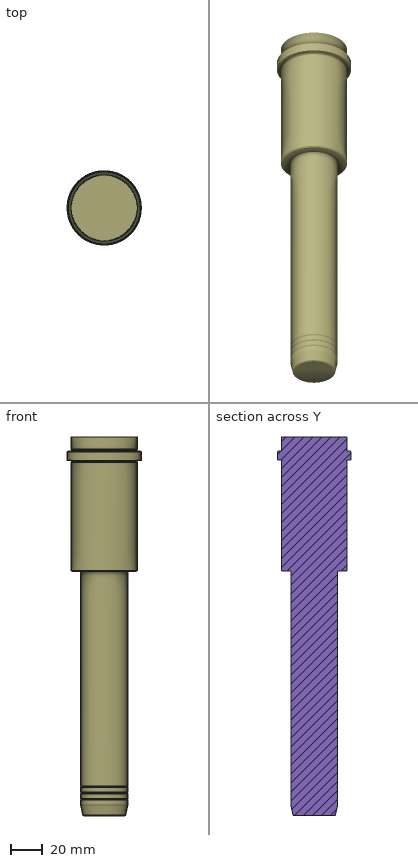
import cadquery as cq

length = 240.0
flange_diameter = 47.0
body_diameter = 42.0
shank_diameter = 30.0
tip_diameter = 27.0

body_length = 85.2
body_bottom = length - body_length
flange_top = length - 9.0
flange_height = 6.0
flange_bottom = flange_top - flange_height
tip_height = 7.0

body_chamfer = 0.7
neck_depth = 0.5
neck_width = 1.2
flange_chamfer = 0.7
tip_chamfer = 0.5
groove_width = 1.2
groove_depth = 0.35
groove_count = 3
first_groove_height = 10.5
last_groove_height = 18.5
groove_pitch = (last_groove_height - first_groove_height) / (groove_count - 1)


def cylinder(diameter, bottom, top):
    """Cylinder on the Z axis between two heights."""
    return cq.Workplane("XY").workplane(offset=bottom).circle(diameter / 2).extrude(top - bottom)


def v_groove(diameter, depth, center_height, width):
    """Ring that cuts a V-shaped groove into a cylinder of the given diameter."""
    radius = diameter / 2
    profile = [
        (radius, center_height - width / 2),
        (radius - depth, center_height),
        (radius, center_height + width / 2),
    ]
    return cq.Workplane("XZ").polyline(profile).close().revolve(360, (0, 0, 0), (0, 1, 0))


shank = cylinder(shank_diameter, tip_height, body_bottom)
tip = (
    cq.Workplane("XY")
    .circle(tip_diameter / 2)
    .workplane(offset=tip_height)
    .circle(shank_diameter / 2)
    .loft(ruled=True)
    .faces("<Z")
    .chamfer(tip_chamfer)
)

shank = shank.union(tip)
for index in range(groove_count):
    groove_height = first_groove_height + index * groove_pitch
    shank = shank.cut(v_groove(shank_diameter, groove_depth, groove_height, groove_width))

body = cylinder(body_diameter, body_bottom, length).faces("<Z").chamfer(body_chamfer)
for neck_center in (flange_top + neck_width / 2, flange_bottom - neck_width / 2):
    body = body.cut(v_groove(body_diameter, neck_depth, neck_center, neck_width))

flange = cylinder(flange_diameter, flange_bottom, flange_top).faces(">Z").chamfer(flange_chamfer)

result = shank.union(body).union(flange)